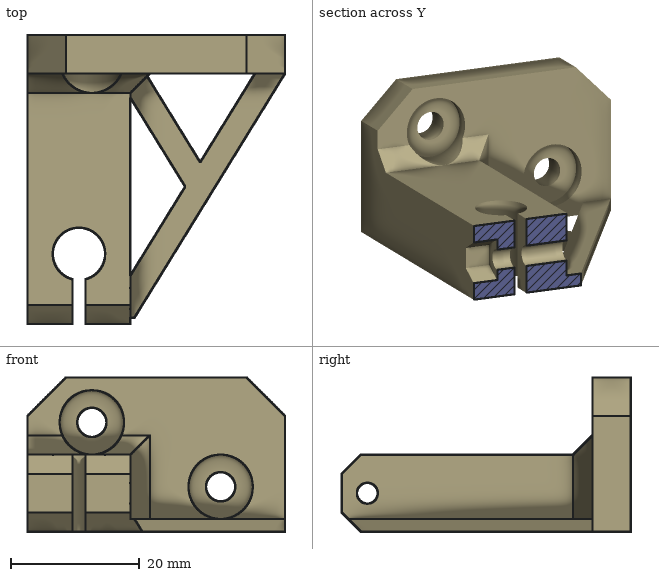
import cadquery as cq
import math


plate_width = 40.0
plate_height = 24.0
plate_thickness = 6.0
plate_front_y = -plate_thickness
plate_corner_chamfer = 6.0

arm_width = 16.0
arm_height = 12.0
arm_end_y = -44.92
arm_end_chamfer = 3.0
root_chamfer = 3.0

bore_diameter = 8.1
bore_x = arm_width / 2
bore_y = -34.0
slot_width = 2.0

screw_diameter = 3.2
screw_end_distance = 4.0
screw_y = arm_end_y + screw_end_distance
screw_z = arm_height / 2
nut_across_corners = 6.5
nut_pocket_depth = 4.0

mount_hole_diameter = 4.5
counterbore_diameter = 10.0
counterbore_depth = 2.0
mount_hole_centers = [(10.0, 17.0), (30.0, 7.0)]

rib_height = 2.0
rib_width = 4.0


def make_plate():
    plate = cq.Workplane("XY").box(plate_width, plate_thickness, plate_height, centered=False)
    plate = plate.translate((0, plate_front_y, 0))
    return plate.edges("|Y and >Z").chamfer(plate_corner_chamfer)


def make_arm():
    arm = cq.Workplane("XY").box(arm_width, -arm_end_y, arm_height, centered=False)
    return arm.translate((0, arm_end_y, 0))


def make_root_flare():
    """Chamfered flare along the top and right side of the arm where it meets the plate."""
    flare_width = arm_width + root_chamfer
    flare_height = arm_height + root_chamfer
    base = cq.Workplane("XZ", origin=(0, plate_front_y, 0)).rect(flare_width * 2, flare_height * 2)
    flare = base.workplane(offset=root_chamfer).rect(arm_width * 2, arm_height * 2).loft(ruled=True)
    quadrant = cq.Workplane("XZ", origin=(0, plate_front_y, 0)).rect(flare_width, flare_height, centered=False)
    return flare.intersect(quadrant.extrude(root_chamfer))


def make_ribs():
    """Outer diagonal from plate corner to arm end, and a mirrored one from the arm root to meet it."""
    run = plate_width - arm_width
    rise = plate_front_y - arm_end_y
    rib_span_x = rib_width * math.hypot(run, rise) / rise
    half_span = rib_span_x / 2

    outer = [
        (plate_width, plate_front_y),
        (arm_width, arm_end_y),
        (arm_width - rib_span_x, arm_end_y),
        (plate_width - rib_span_x, plate_front_y),
    ]
    meet_x = (arm_width + plate_width - half_span) / 2
    meet_y = plate_front_y - (meet_x - arm_width) * rise / run
    inner = [
        (arm_width - half_span, plate_front_y),
        (arm_width + half_span, plate_front_y),
        (meet_x + half_span, meet_y),
        (meet_x - half_span, meet_y),
    ]
    outer_rib = cq.Workplane("XY").polyline(outer).close().extrude(rib_height)
    inner_rib = cq.Workplane("XY").polyline(inner).close().extrude(rib_height)
    return outer_rib.union(inner_rib)


def make_end_chamfer_cutter(edge_z):
    """Prism that bevels the free end of the arm, and any rib there, along height edge_z."""
    inward = math.copysign(arm_end_chamfer, screw_z - edge_z)
    corners = [
        (arm_end_y, edge_z),
        (arm_end_y + arm_end_chamfer, edge_z),
        (arm_end_y, edge_z + inward),
    ]
    return cq.Workplane("YZ").polyline(corners).close().extrude(plate_width)


def make_rod_clamp_cutter():
    bore = cq.Workplane("XY").center(bore_x, bore_y).circle(bore_diameter / 2).extrude(arm_height)
    slot = cq.Workplane("XY").box(slot_width, bore_y - arm_end_y, arm_height, centered=(True, False, False))
    return bore.union(slot.translate((bore_x, arm_end_y, 0)))


def make_screw_cutter():
    side = cq.Workplane("YZ").center(screw_y, screw_z)
    hole = side.circle(screw_diameter / 2).extrude(arm_width)
    nut = side.polygon(6, nut_across_corners).extrude(nut_pocket_depth)
    nut = nut.rotate((0, screw_y, screw_z), (1, screw_y, screw_z), 90)
    return hole.union(nut)


def make_mount_hole_cutter(x, z):
    hole = cq.Workplane("XZ").center(x, z).circle(mount_hole_diameter / 2).extrude(plate_thickness)
    seat = cq.Workplane("XZ", origin=(0, plate_front_y + counterbore_depth, 0)).center(x, z)
    counterbore = seat.circle(counterbore_diameter / 2).extrude(counterbore_depth + root_chamfer)
    return hole.union(counterbore)


result = make_plate().union(make_arm()).union(make_root_flare()).union(make_ribs())
for edge_z in (0.0, arm_height):
    result = result.cut(make_end_chamfer_cutter(edge_z))
result = result.cut(make_rod_clamp_cutter())
result = result.cut(make_screw_cutter())
for hole_x, hole_z in mount_hole_centers:
    result = result.cut(make_mount_hole_cutter(hole_x, hole_z))